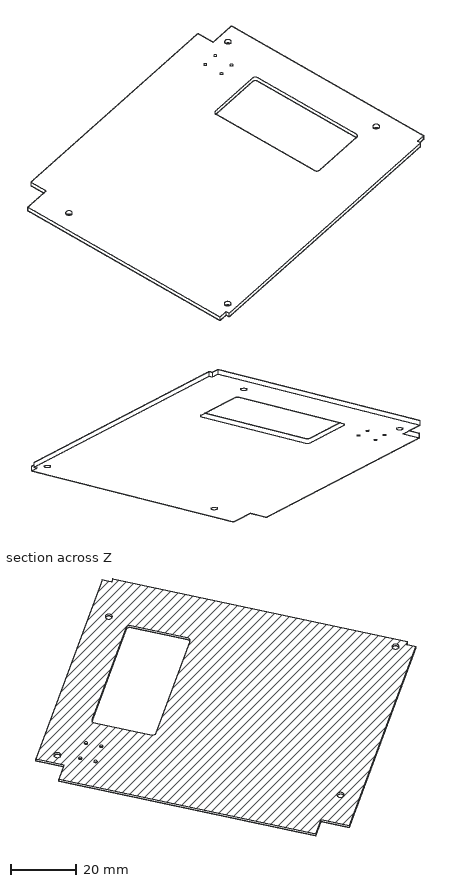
import cadquery as cq

width = 82.8
length = 100.0
thickness = 1.6

left_notch_width = 6.0
left_notch_length = 9.0
right_notch_width = 1.2
right_notch_length = 3.0

window_width = 40.8
window_length = 20.2
window_left = 25.1
window_top_margin = 12.4
window_corner_radius = 1.0

mount_diameter = 2.0
mount_end_margin = 6.0
top_mount_x = (9.4, 67.7)
bottom_mount_x = (17.4, 79.8)

pin_diameter = 0.9
pin_left = 10.1
pin_top_margin = 13.1
pin_spacing_x = 6.4
pin_spacing_y = 4.9


def box_at(x, y, size_x, size_y):
    """Full-thickness block with its lower left corner at (x, y)."""
    return cq.Workplane("XY").box(size_x, size_y, thickness, centered=False).translate((x, y, 0))


def cylinders_at(points, diameter):
    """Full-thickness cylinders centred on the points."""
    return cq.Workplane("XY").pushPoints(points).circle(diameter / 2).extrude(thickness)


plate = box_at(0, 0, width, length)

for y in (0, length - left_notch_length):
    plate = plate.cut(box_at(0, y, left_notch_width, left_notch_length))
for y in (0, length - right_notch_length):
    plate = plate.cut(box_at(width - right_notch_width, y, right_notch_width, right_notch_length))

window_bottom = length - window_top_margin - window_length
window = box_at(window_left, window_bottom, window_width, window_length)
plate = plate.cut(window.edges("|Z").fillet(window_corner_radius))

mount_points = [(x, length - mount_end_margin) for x in top_mount_x]
mount_points += [(x, mount_end_margin) for x in bottom_mount_x]
plate = plate.cut(cylinders_at(mount_points, mount_diameter))

pin_top = length - pin_top_margin
pin_points = [
    (x, y)
    for x in (pin_left, pin_left + pin_spacing_x)
    for y in (pin_top - pin_spacing_y, pin_top)
]
result = plate.cut(cylinders_at(pin_points, pin_diameter))